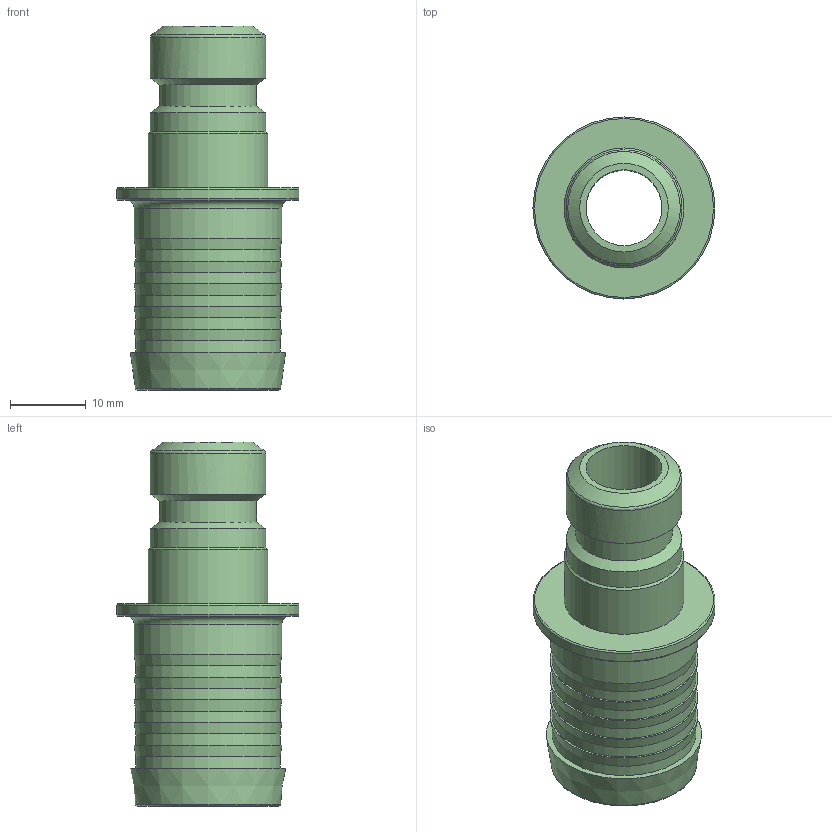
import cadquery as cq
import math

total_height = 48.0
flange_bottom = 25.0
flange_top = 26.7
shoulder_top = 34.05
collar_top = 36.55
neck_top = 40.25

bore_diameter = 10.0
hose_end_diameter = 19.1
end_barb_diameter = 20.5
core_diameter = 19.0
barb_diameter = 19.5
flange_diameter = 24.0
shoulder_diameter = 15.8
plug_diameter = 15.25
neck_diameter = 12.8
plug_face_diameter = 11.7

end_barb_height = 5.0
barb_count = 5
barb_pitch = 3.0
barb_cone_height = barb_pitch / 2

hose_end_round = 0.3
flange_edge_round = 0.2
flange_root_fillet = 1.0
plug_edge_round = 0.5
plug_cone_angle = math.radians(36)

groove_cone_height = (plug_diameter - neck_diameter) / 2 * math.tan(plug_cone_angle)
nose_cone_height = (plug_diameter - plug_face_diameter) / 2 * math.tan(plug_cone_angle)
shoulder_chamfer = (shoulder_diameter - plug_diameter) / 2


def add_hose_tail(outline):
    """Draw the end barb and the row of small barbs, from the hose end upwards."""
    end_radius = hose_end_diameter / 2
    end_barb_radius = end_barb_diameter / 2
    outline = outline.lineTo(end_radius, 0)
    outline = outline.lineTo(end_barb_radius, end_barb_height)
    outline = outline.lineTo(core_diameter / 2, end_barb_height)
    for index in range(barb_count):
        crest = end_barb_height + (index + 1) * barb_pitch
        outline = outline.lineTo(core_diameter / 2, crest - barb_cone_height)
        outline = outline.lineTo(barb_diameter / 2, crest)
        if index < barb_count - 1:
            outline = outline.lineTo(core_diameter / 2, crest)
    return outline


def add_flange(outline):
    """Draw the plain length above the barbs and the flange with its root fillet."""
    root_radius = barb_diameter / 2
    fillet_offset = flange_root_fillet * (1 - math.sqrt(0.5))
    outline = outline.lineTo(root_radius, flange_bottom - flange_root_fillet)
    outline = outline.threePointArc(
        (root_radius + fillet_offset, flange_bottom - fillet_offset),
        (root_radius + flange_root_fillet, flange_bottom),
    )
    outline = outline.lineTo(flange_diameter / 2, flange_bottom)
    outline = outline.lineTo(flange_diameter / 2, flange_top)
    return outline.lineTo(shoulder_diameter / 2, flange_top)


def add_plug(outline):
    """Draw the shoulder, the collar, the locking groove and the tapered nose."""
    outline = outline.lineTo(shoulder_diameter / 2, shoulder_top - shoulder_chamfer)
    outline = outline.lineTo(plug_diameter / 2, shoulder_top)
    outline = outline.lineTo(plug_diameter / 2, collar_top)
    outline = outline.lineTo(neck_diameter / 2, collar_top + groove_cone_height)
    outline = outline.lineTo(neck_diameter / 2, neck_top)
    outline = outline.lineTo(plug_diameter / 2, neck_top + groove_cone_height)
    outline = outline.lineTo(plug_diameter / 2, total_height - nose_cone_height)
    return outline.lineTo(plug_face_diameter / 2, total_height)


def round_edge(body, diameter, level, edge_round):
    """Round the circular edge of the given diameter that lies at the given level."""
    tolerance = 0.01
    edges = [
        edge
        for edge in body.edges("%CIRCLE").vals()
        if abs(edge.radius() - diameter / 2) < tolerance
        and abs(edge.Center().z - level) < tolerance
    ]
    return body.newObject(edges).fillet(edge_round)


def make_body():
    """Revolve the outline around the Z axis, leaving the through bore open."""
    outline = cq.Workplane("XZ").moveTo(bore_diameter / 2, 0)
    outline = add_hose_tail(outline)
    outline = add_flange(outline)
    outline = add_plug(outline)
    outline = outline.lineTo(bore_diameter / 2, total_height).close()
    return outline.revolve(360, (0, 0, 0), (0, 1, 0))


result = make_body()
result = round_edge(result, hose_end_diameter, 0, hose_end_round)
result = round_edge(result, flange_diameter, flange_bottom, flange_edge_round)
result = round_edge(result, flange_diameter, flange_top, flange_edge_round)
result = round_edge(result, plug_diameter, total_height - nose_cone_height, plug_edge_round)